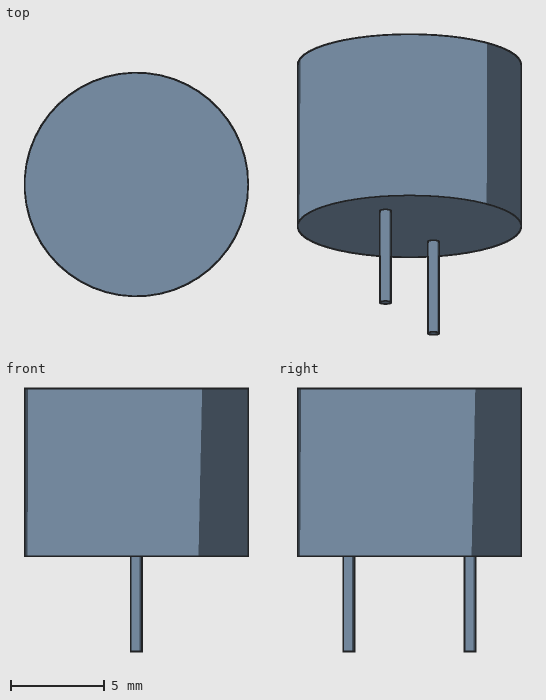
import cadquery as cq

total_height = 14.1
housing_diameter = 12.0
housing_height = 9.0
pin_diameter = 0.6
pin_spacing = 6.5

pin_length = total_height - housing_height


def make_housing():
    """Plain cylindrical housing standing on the XY plane."""
    return cq.Workplane("XY").circle(housing_diameter / 2).extrude(housing_height)


def make_pin(y):
    """Round pin hanging from the flat underside of the housing."""
    return cq.Workplane("XY").center(0, y).circle(pin_diameter / 2).extrude(-pin_length)


housing = make_housing()

pins = []
for side in (-1, 1):
    pins.append(make_pin(side * pin_spacing / 2))

result = cq.Compound.makeCompound([housing.val(), *[pin.val() for pin in pins]])